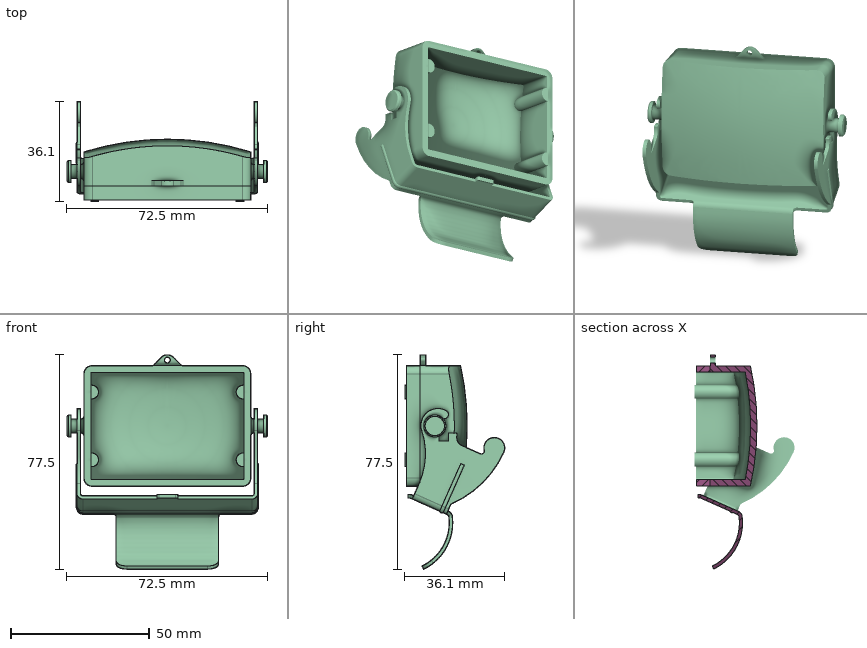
import cadquery as cq
import math


BOX_WIDTH = 60.3
BOX_HEIGHT = 43.6
BOX_CORNER = 3.0
WALL = 2.5
CAVITY_WIDTH = BOX_WIDTH - 2 * WALL
CAVITY_HEIGHT = BOX_HEIGHT - 2 * WALL
CAVITY_CORNER = 0.5
FRAME_DEPTH = 5.0
DOME_PEAK = 22.0
DOME_RADIUS = 100.0
DOME_CENTER_Y = DOME_PEAK - DOME_RADIUS

POST_RADIUS = 2.5
POST_X = 27.35
POST_Z = 12.2
POST_PROTRUSION = 0.5

EYELET_THICKNESS = 2.0
EYELET_TOP = 25.7
EYELET_RADIUS = 3.0
EYELET_FILLET = 1.0
EYELET_HOLE = 2.0
EYELET_HOLE_Z = 23.8

PIN_Y = 10.3
PIN_DIAMETER = 5.2
PIN_HEAD_DIAMETER = 8.0
PIN_END_X = 36.25
PIN_HEAD_LENGTH = 1.5
PIN_HEAD_CHAMFER = 0.5
PIN_FOOT_FILLET = 1.0

LEVER_TILT = 24.0
TILT_SIN = math.sin(math.radians(LEVER_TILT))
TILT_COS = math.cos(math.radians(LEVER_TILT))
SHEET = 1.3
BEND_INNER = 0.8
BEND_OUTER = BEND_INNER + SHEET
LEVER_WIDTH = 65.2
WEB_FRONT_U = 3.25
WEB_BACK_U = 16.8
WEB_BOTTOM_V = -27.4
WEB_TOP_V = WEB_BOTTOM_V + SHEET

HOOK_CENTER = (0.9, 0.6)
TIP_RADIUS = 1.55
TIP_U = 1.4
TIP_CENTER = (TIP_U, (PIN_DIAMETER / 2 + TIP_RADIUS + TIP_U * TILT_SIN) / TILT_COS)
HOOK_RADIUS = math.dist(HOOK_CENTER, TIP_CENTER) + TIP_RADIUS
FRONT_RADIUS = 26.3
BALL_RADIUS = 3.8
BALL_CENTER = (22.85, 1.5)
BELLY_CENTER = (-10.4, 1.7)
BELLY_RADIUS = math.dist(BELLY_CENTER, BALL_CENTER) + BALL_RADIUS
SHOULDER_V = -2.5
NECK_FILLET = 1.0
STEP_U = 8.6
STEP_RADIUS = 3.25
STEP_FILLET = 0.4
STEP_TOP_V = (STEP_U * TILT_SIN - PIN_DIAMETER / 2) / TILT_COS
HEEL_FILLET = 1.0

NOTCH_NEAR_Y = 1.5
NOTCH_FAR_Y = 4.9
NOTCH_DEPTH = 5.5

BEAD_U = 14.8
BEAD_WIDTH = 1.4
BEAD_RISE = 0.3
BEAD_TOP_V = -8.6
BEAD_ROOT = 0.4

LIP_WIDTH = 7.5
LIP_BEND_U = 2.2
LIP_BEND = 1.0
LIP_LENGTH = 1.1
LIP_CORNER = 0.8

HANDLE_WIDTH = 37.1
HANDLE_BEND_INNER = 1.1
HANDLE_BEND_OUTER = HANDLE_BEND_INNER + SHEET
HANDLE_CENTER = (3.2, -36.9)
HANDLE_OUTER = 18.6
HANDLE_END_ANGLE = -40.4
HANDLE_END_CORNER = 4.0
HANDLE_ROOT_FILLET = 1.25


def y_prism(width, height, corner, y_start, y_end):
    """Rounded rectangle in XZ, extruded from y_start to y_end."""
    prism = cq.Workplane("XZ", origin=(0, y_start, 0)).rect(width, height).extrude(y_start - y_end)
    return prism.edges("|Y").fillet(corner)


def dome_ball(radius):
    return cq.Workplane("XY", origin=(0, DOME_CENTER_Y, 0)).sphere(radius, direct=(0, 1, 0))


def x_prism(sketch, width):
    """Closed outline in the lever's (u, v) frame, extruded evenly about X = 0."""
    return sketch.close().extrude(width / 2, both=True)


def on_circle(center, radius, degrees):
    angle = math.radians(degrees)
    return (center[0] + radius * math.cos(angle), center[1] + radius * math.sin(angle))


def toward(center, target, distance):
    """Point at the given distance from center, on the ray to target."""
    ratio = distance / math.dist(center, target)
    return (
        center[0] + ratio * (target[0] - center[0]),
        center[1] + ratio * (target[1] - center[1]),
    )


def make_frame():
    outside = y_prism(BOX_WIDTH, BOX_HEIGHT, BOX_CORNER, 0, FRAME_DEPTH)
    opening = y_prism(CAVITY_WIDTH, CAVITY_HEIGHT, CAVITY_CORNER, 0, FRAME_DEPTH)
    return outside.cut(opening)


def make_eyelet():
    top_face = BOX_HEIGHT / 2
    center_z = EYELET_TOP - EYELET_RADIUS
    shoulder = EYELET_RADIUS * math.sqrt(0.5)
    flank_x = EYELET_RADIUS * math.sqrt(2) + center_z - top_face
    blend = EYELET_FILLET * math.tan(math.radians(22.5))
    foot_x = flank_x + blend
    blend_center = (foot_x, top_face + EYELET_FILLET)
    blend_end = on_circle(blend_center, EYELET_FILLET, 225)
    blend_mid = on_circle(blend_center, EYELET_FILLET, 247.5)
    root_z = top_face - WALL / 2
    return (
        cq.Workplane("XZ", origin=(0, FRAME_DEPTH, 0))
        .moveTo(-foot_x, root_z)
        .lineTo(-foot_x, top_face)
        .threePointArc((-blend_mid[0], blend_mid[1]), (-blend_end[0], blend_end[1]))
        .lineTo(-shoulder, center_z + shoulder)
        .threePointArc((0, EYELET_TOP), (shoulder, center_z + shoulder))
        .lineTo(*blend_end)
        .threePointArc(blend_mid, (foot_x, top_face))
        .lineTo(foot_x, root_z)
        .close()
        .extrude(-EYELET_THICKNESS)
        .cut(
            cq.Workplane("XZ", origin=(0, FRAME_DEPTH, EYELET_HOLE_Z))
            .circle(EYELET_HOLE / 2)
            .extrude(-EYELET_THICKNESS)
        )
    )


def make_posts():
    centers = [(x, z) for x in (-POST_X, POST_X) for z in (-POST_Z, POST_Z)]
    posts = (
        cq.Workplane("XZ", origin=(0, -POST_PROTRUSION, 0))
        .pushPoints(centers)
        .circle(POST_RADIUS)
        .extrude(-DOME_PEAK)
    )
    cavity = y_prism(CAVITY_WIDTH, CAVITY_HEIGHT, CAVITY_CORNER, -POST_PROTRUSION, DOME_PEAK)
    return posts.intersect(cavity).intersect(dome_ball(DOME_RADIUS - WALL / 2))


def make_cover():
    outside = y_prism(BOX_WIDTH, BOX_HEIGHT, BOX_CORNER, FRAME_DEPTH, DOME_PEAK)
    cavity = y_prism(CAVITY_WIDTH, CAVITY_HEIGHT, CAVITY_CORNER, FRAME_DEPTH, DOME_PEAK)
    shell = outside.intersect(dome_ball(DOME_RADIUS)).cut(
        cavity.intersect(dome_ball(DOME_RADIUS - WALL))
    )
    return shell.union(make_eyelet()).union(make_posts())


def make_pin(side):
    """Pin turned about the pivot axis; side is -1 or +1 along X."""
    shaft = PIN_DIAMETER / 2
    head = PIN_HEAD_DIAMETER / 2
    wall_x = BOX_WIDTH / 2
    foot_center = (wall_x + PIN_FOOT_FILLET, shaft + PIN_FOOT_FILLET)
    pin = (
        cq.Workplane("XY")
        .moveTo(wall_x, 0)
        .lineTo(wall_x, foot_center[1])
        .threePointArc(on_circle(foot_center, PIN_FOOT_FILLET, 225), (foot_center[0], shaft))
        .lineTo(PIN_END_X - PIN_HEAD_LENGTH, shaft)
        .lineTo(PIN_END_X - PIN_HEAD_LENGTH, head)
        .lineTo(PIN_END_X - PIN_HEAD_CHAMFER, head)
        .lineTo(PIN_END_X, head - PIN_HEAD_CHAMFER)
        .lineTo(PIN_END_X, 0)
        .close()
        .revolve(360, (0, 0, 0), (1, 0, 0))
    )
    if side < 0:
        pin = pin.mirror("YZ")
    return pin.translate((0, PIN_Y, 0))


def make_side_outline():
    """Side plate outline, extruded over the whole lever width, with the hook's mouth still closed."""
    front_u = WEB_FRONT_U - FRONT_RADIUS
    rise = math.sqrt((FRONT_RADIUS + HOOK_RADIUS) ** 2 - (HOOK_CENTER[0] - front_u) ** 2)
    front_center = (front_u, HOOK_CENTER[1] - rise)
    front_end = toward(front_center, HOOK_CENTER, FRONT_RADIUS)
    front_angle = math.degrees(math.atan2(rise, HOOK_CENTER[0] - front_u))
    front_mid = on_circle(front_center, FRONT_RADIUS, front_angle / 2)
    tip_angle = math.degrees(math.atan2(TIP_CENTER[1] - HOOK_CENTER[1], TIP_CENTER[0] - HOOK_CENTER[0]))
    hook_mid = on_circle(HOOK_CENTER, HOOK_RADIUS, (front_angle + 180 + tip_angle) / 2)
    hook_end = on_circle(HOOK_CENTER, HOOK_RADIUS, tip_angle)
    tip_mid = on_circle(TIP_CENTER, TIP_RADIUS, 0)
    tip_end = on_circle(TIP_CENTER, TIP_RADIUS, LEVER_TILT - 90)
    step_center = (STEP_U + STEP_RADIUS, SHOULDER_V + STEP_RADIUS)
    step_mid = on_circle(step_center, STEP_RADIUS, 225)
    neck_v = SHOULDER_V + NECK_FILLET
    neck_run = math.sqrt((BALL_RADIUS + NECK_FILLET) ** 2 - (BALL_CENTER[1] - neck_v) ** 2)
    neck_center = (BALL_CENTER[0] - neck_run, neck_v)
    neck_end = toward(neck_center, BALL_CENTER, NECK_FILLET)
    neck_mid = on_circle(neck_center, NECK_FILLET, -45)
    ball_mid = on_circle(BALL_CENTER, BALL_RADIUS, 90)
    ball_end = toward(BELLY_CENTER, BALL_CENTER, BELLY_RADIUS)
    belly_drop = math.sqrt(BELLY_RADIUS**2 - (WEB_BACK_U - BELLY_CENTER[0]) ** 2)
    heel = (WEB_BACK_U, BELLY_CENTER[1] - belly_drop)
    heel_angle = math.degrees(math.atan2(heel[1] - BELLY_CENTER[1], heel[0] - BELLY_CENTER[0]))
    belly_mid = on_circle(BELLY_CENTER, BELLY_RADIUS, heel_angle / 2)
    sketch = (
        cq.Workplane("YZ")
        .moveTo(WEB_FRONT_U, WEB_BOTTOM_V)
        .lineTo(WEB_FRONT_U, front_center[1])
        .threePointArc(front_mid, front_end)
        .threePointArc(hook_mid, hook_end)
        .threePointArc(tip_mid, tip_end)
        .lineTo(STEP_U, STEP_TOP_V)
        .lineTo(STEP_U, step_center[1])
        .threePointArc(step_mid, (step_center[0], SHOULDER_V))
        .lineTo(neck_center[0], SHOULDER_V)
        .threePointArc(neck_mid, neck_end)
        .threePointArc(ball_mid, ball_end)
        .threePointArc(belly_mid, heel)
        .lineTo(WEB_BACK_U, WEB_BOTTOM_V)
    )
    plate = x_prism(sketch, LEVER_WIDTH)
    return plate.edges(cq.selectors.NearestToPointSelector((0, *heel))).fillet(HEEL_FILLET)


def channel_prism(inset, bend_radius):
    """Solid U-section with rounded lower corners, inset from the outside of the sheet."""
    section_width = LEVER_WIDTH - 2 * inset
    section_bottom = WEB_BOTTOM_V + inset
    length = 2 * (BALL_CENTER[0] + BALL_RADIUS)
    top = HOOK_CENTER[1] + 2 * HOOK_RADIUS
    block = cq.Workplane("XY").box(section_width, length, top - section_bottom, centered=(True, True, False))
    return block.translate((0, 0, section_bottom)).edges("|Y and <Z").fillet(bend_radius)


def make_bead():
    """Rounded bead swept round the outside of the U-section."""
    half = LEVER_WIDTH / 2
    bend_x = half - BEND_OUTER
    bend_v = WEB_BOTTOM_V + BEND_OUTER
    left_mid = on_circle((-bend_x, bend_v), BEND_OUTER, 225)
    right_mid = on_circle((bend_x, bend_v), BEND_OUTER, 315)
    path = (
        cq.Workplane("XZ", origin=(0, BEAD_U, 0))
        .moveTo(-half, BEAD_TOP_V)
        .lineTo(-half, bend_v)
        .threePointArc(left_mid, (-bend_x, WEB_BOTTOM_V))
        .lineTo(bend_x, WEB_BOTTOM_V)
        .threePointArc(right_mid, (half, bend_v))
        .lineTo(half, BEAD_TOP_V)
    )
    return (
        cq.Workplane("XY", origin=(-half, BEAD_U, BEAD_TOP_V))
        .moveTo(BEAD_ROOT, -BEAD_WIDTH / 2)
        .lineTo(0, -BEAD_WIDTH / 2)
        .threePointArc((-BEAD_RISE, 0), (0, BEAD_WIDTH / 2))
        .lineTo(BEAD_ROOT, BEAD_WIDTH / 2)
        .close()
        .sweep(path)
    )


def make_lip():
    """Short tongue that bends level once the lever is tilted."""
    bend_shift = SHEET * math.tan(math.radians(LEVER_TILT / 2))
    run = LIP_LENGTH * TILT_COS
    drop = LIP_LENGTH * TILT_SIN
    end_top = (LIP_BEND_U - run, WEB_TOP_V - drop)
    end_bottom = (end_top[0] + SHEET * TILT_SIN, end_top[1] - SHEET * TILT_COS)
    sketch = (
        cq.Workplane("YZ")
        .moveTo(WEB_FRONT_U, WEB_TOP_V)
        .lineTo(LIP_BEND_U, WEB_TOP_V)
        .lineTo(*end_top)
        .lineTo(*end_bottom)
        .lineTo(LIP_BEND_U + bend_shift, WEB_BOTTOM_V)
        .lineTo(WEB_FRONT_U, WEB_BOTTOM_V)
    )
    lip = x_prism(sketch, LIP_WIDTH)
    for crease in ((LIP_BEND_U, WEB_TOP_V), (LIP_BEND_U + bend_shift, WEB_BOTTOM_V)):
        lip = lip.edges(cq.selectors.NearestToPointSelector((0, *crease))).fillet(LIP_BEND)
    for side in (-1, 1):
        corner = (side * LIP_WIDTH / 2, (end_top[0] + end_bottom[0]) / 2, (end_top[1] + end_bottom[1]) / 2)
        lip = lip.edges(cq.selectors.NearestToPointSelector(corner)).fillet(LIP_CORNER)
    return lip


def make_handle():
    """Strip that bends down from the web and follows an arc."""
    bend_v = WEB_BOTTOM_V - HANDLE_BEND_INNER
    bend_rise = bend_v - HANDLE_CENTER[1]
    bend_run = math.sqrt((HANDLE_OUTER - HANDLE_BEND_OUTER) ** 2 - bend_rise**2)
    bend_center = (HANDLE_CENTER[0] + bend_run, bend_v)
    start_angle = math.degrees(math.atan2(bend_rise, bend_run))
    bend_mid_angle = (90 + start_angle) / 2
    arc_mid_angle = (start_angle + HANDLE_END_ANGLE) / 2
    inner = HANDLE_OUTER - SHEET
    web_overlap_u = WEB_BACK_U - SHEET
    sketch = (
        cq.Workplane("YZ")
        .moveTo(web_overlap_u, WEB_TOP_V)
        .lineTo(bend_center[0], WEB_TOP_V)
        .threePointArc(
            on_circle(bend_center, HANDLE_BEND_OUTER, bend_mid_angle),
            on_circle(bend_center, HANDLE_BEND_OUTER, start_angle),
        )
        .threePointArc(
            on_circle(HANDLE_CENTER, HANDLE_OUTER, arc_mid_angle),
            on_circle(HANDLE_CENTER, HANDLE_OUTER, HANDLE_END_ANGLE),
        )
        .lineTo(*on_circle(HANDLE_CENTER, inner, HANDLE_END_ANGLE))
        .threePointArc(
            on_circle(HANDLE_CENTER, inner, arc_mid_angle),
            on_circle(HANDLE_CENTER, inner, start_angle),
        )
        .threePointArc(
            on_circle(bend_center, HANDLE_BEND_INNER, bend_mid_angle),
            (bend_center[0], WEB_BOTTOM_V),
        )
        .lineTo(web_overlap_u, WEB_BOTTOM_V)
    )
    handle = x_prism(sketch, HANDLE_WIDTH)
    end_mid = on_circle(HANDLE_CENTER, HANDLE_OUTER - SHEET / 2, HANDLE_END_ANGLE)
    for side in (-1, 1):
        corner = (side * HANDLE_WIDTH / 2, *end_mid)
        handle = handle.edges(cq.selectors.NearestToPointSelector(corner)).fillet(HANDLE_END_CORNER)
    return handle


def cut_mouth(lever):
    """Open the hook level towards the back, pin-wide, and cut the notch below it."""
    reach = 2 * STEP_U
    mouth = cq.Workplane("XY", origin=(0, reach / 2, 0)).box(LEVER_WIDTH, reach, PIN_DIAMETER)
    seat = cq.Workplane("YZ").circle(PIN_DIAMETER / 2).extrude(LEVER_WIDTH / 2, both=True)
    notch = cq.Workplane("XY", origin=(0, (NOTCH_NEAR_Y + NOTCH_FAR_Y) / 2, -NOTCH_DEPTH / 2)).box(
        LEVER_WIDTH, NOTCH_FAR_Y - NOTCH_NEAR_Y, NOTCH_DEPTH
    )
    return lever.cut(mouth).cut(seat).cut(notch)


def make_lever():
    sheet = make_side_outline().intersect(channel_prism(0, BEND_OUTER)).cut(channel_prism(SHEET, BEND_INNER))
    lever = sheet.union(make_handle())
    web_mid_v = (WEB_BOTTOM_V + WEB_TOP_V) / 2
    for side in (-1, 1):
        root = (side * HANDLE_WIDTH / 2, WEB_BACK_U, web_mid_v)
        lever = lever.edges(cq.selectors.NearestToPointSelector(root)).fillet(HANDLE_ROOT_FILLET)
    lever = lever.union(make_bead()).union(make_lip())
    lever = cut_mouth(lever.rotate((0, 0, 0), (1, 0, 0), -LEVER_TILT))
    step_y = STEP_U * TILT_COS + STEP_TOP_V * TILT_SIN
    for side in (-1, 1):
        step_edge = (side * (LEVER_WIDTH - SHEET) / 2, step_y, -PIN_DIAMETER / 2)
        lever = lever.edges(cq.selectors.NearestToPointSelector(step_edge)).fillet(STEP_FILLET)
    return lever.translate((0, PIN_Y, 0))


frame = make_frame()
cover = make_cover()
lever = make_lever()
pins = [make_pin(side) for side in (-1, 1)]
result = cq.Compound.makeCompound([frame.val(), cover.val(), lever.val(), *[pin.val() for pin in pins]])